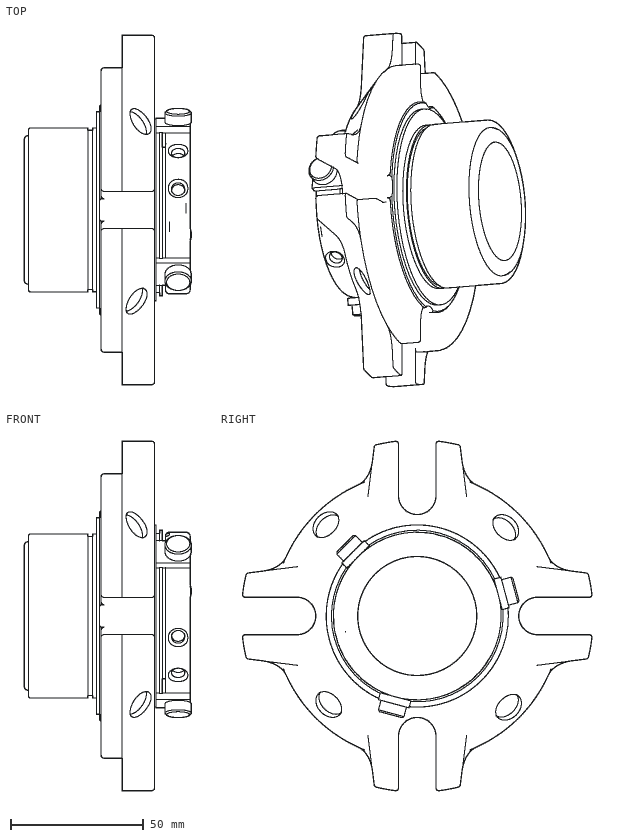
import cadquery as cq
import math

bore_diameter = 45.01

nose_diameter = 56.39
nose_length = 1.64
nose_fillet = 1.6
sleeve_diameter = 62.23
sleeve_end_x = 24.15
sleeve_fillet = 0.75
groove_diameter = 60.4
groove_end_x = 25.9
collar_diameter = 62.18

pilot_x = 27.4
pilot_diameter = 74.5
step_x = 28.6
step_diameter = 80.2
step_chamfer = 0.5
flange_x = 29.1
flange_diameter = 109.0
lug_x = 37.1
back_x = 49.45
edge_fillet = 1.15
cone_drop = back_x - lug_x

slot_count = 4
slot_width = 14.1
slot_center_radius = 45.5
tip_radius = 66.7
slot_overrun = 1.0
lug_tip_half_width = 16.0
lug_flank_slope = 0.125
lug_root_radius = 36.0
lug_root_fillet = 6.5

port_diameter = 11.25
port_depth = 2.5
port_positions = ((45, 44.1), (135, 42.6), (225, 44.1), (315, 42.6))

spigot_diameter = 69.0
spigot_end_x = 50.0
hub_diameter = 62.6
hub_end_x = 51.3
snap_ring_diameter = 65.0
snap_ring_end_x = 52.3
neck_diameter = 47.6

collar_ring_diameter = 63.52
collar_ring_x = 53.45
collar_ring_end_x = 62.9
collar_ring_fillet = 1.6
screw_x = 58.32

clip_angles = (15, 135, 255)
clip_width = 12.0
clip_inner_radius = 31.7
clip_thickness = 2.7
clip_head_diameter = 10.0
clip_head_height = 4.3
clip_head_chamfer = 0.6
screw_angles = (75, 195, 315, 45, 225)
screw_hole_diameter = 5.0
screw_sink_diameter = 7.6
screw_sink_depth = 1.3
screw_hole_depth = 4.0


def turned(x_start, x_end, diameter):
    """Solid cylinder on the X axis."""
    return cq.Workplane("YZ", origin=(x_start, 0, 0)).circle(diameter / 2).extrude(x_end - x_start)


def at_angle(shape, angle):
    """Turn a shape about X, from +Y towards +Z."""
    return shape.rotate((0, 0, 0), (1, 0, 0), angle)


def radius_of(edge):
    """Distance of an edge's middle from the X axis."""
    middle = edge.Center()
    return math.hypot(middle.y, middle.z)


def radial_cylinder(x, r_start, length, diameter):
    """Cylinder standing along +Y, starting at the given radius."""
    plane = cq.Plane(origin=(x, r_start, 0), xDir=(1, 0, 0), normal=(0, 1, 0))
    return cq.Workplane(plane).circle(diameter / 2).extrude(length)


def make_sleeve():
    """Stepped sleeve from its free end to the pilot of the flange."""
    nose = turned(0, nose_length, nose_diameter).faces("<X").edges().fillet(nose_fillet)
    barrel = turned(nose_length, sleeve_end_x, sleeve_diameter)
    barrel = barrel.faces("<X").edges().fillet(sleeve_fillet)
    groove = turned(sleeve_end_x, groove_end_x, groove_diameter)
    collar = turned(groove_end_x, pilot_x, collar_diameter)
    pilot = turned(pilot_x, step_x, pilot_diameter)
    return nose.union(barrel).union(groove).union(collar).union(pilot)


def make_lug_pair():
    """One lug block on +Z, later split in two by its slot."""
    root_half_width = lug_tip_half_width + lug_flank_slope * (tip_radius - lug_root_radius)
    outline = (
        cq.Workplane("YZ", origin=(lug_x, 0, 0))
        .moveTo(-root_half_width, lug_root_radius)
        .lineTo(-lug_tip_half_width, tip_radius)
        .lineTo(lug_tip_half_width, tip_radius)
        .lineTo(root_half_width, lug_root_radius)
        .close()
    )
    return outline.extrude(cone_drop).intersect(turned(lug_x, back_x, 2 * tip_radius))


def make_lug_disc():
    """Conical disc carrying the lugs, with the lug roots blended into the cone."""
    rim = flange_diameter / 2
    disc = (
        cq.Workplane("XY")
        .polyline([(lug_x, 0), (lug_x, rim), (back_x, rim - cone_drop), (back_x, 0)])
        .close()
        .revolve(360, (0, 0, 0), (1, 0, 0))
    )
    for i in range(slot_count):
        disc = disc.union(at_angle(make_lug_pair(), i * 360 / slot_count))

    roots = []
    for edge in disc.edges().vals():
        crosses_disc = edge.BoundingBox().xlen > cone_drop / 2
        if crosses_disc and radius_of(edge) < rim:
            roots.append(edge)
    return disc.newObject(roots).fillet(lug_root_fillet)


def slot_cutter(angle):
    """Round-bottomed slot, open at the rim."""
    length = back_x - step_x
    outer = tip_radius + slot_overrun
    plane = cq.Workplane("YZ", origin=(step_x, 0, 0))
    round_end = plane.center(0, slot_center_radius).circle(slot_width / 2).extrude(length)
    straight = (
        plane.center(0, (slot_center_radius + outer) / 2)
        .rect(slot_width, outer - slot_center_radius)
        .extrude(length)
    )
    return at_angle(round_end.union(straight), angle)


def port_cutter(angle, x):
    """Shallow round port whose axis is square to the cone."""
    radius = flange_diameter / 2 - (x - lug_x)
    plane = cq.Plane(origin=(x, radius, 0), xDir=(0, 0, 1), normal=(1, 1, 0))
    drill = cq.Workplane(plane).workplane(offset=-port_depth).circle(port_diameter / 2)
    return at_angle(drill.extrude(2 * port_depth), angle)


def make_step():
    """Low ring standing proud of the flange, cut by the slot bottoms."""
    step = turned(step_x, lug_x, step_diameter)
    return step.faces("<X").edges().chamfer(step_chamfer)


def make_flange():
    """Slotted flange with rounded edges, ports and the front step."""
    flange = turned(flange_x, lug_x, flange_diameter).union(make_lug_disc())
    for i in range(slot_count):
        flange = flange.cut(slot_cutter(i * 360 / slot_count))

    corner_limit = flange_diameter / 2 - edge_fillet
    corners = [edge for edge in flange.edges("|X").vals() if radius_of(edge) > corner_limit]
    flange = flange.newObject(corners).fillet(edge_fillet)
    flange = flange.faces("<X").edges().fillet(edge_fillet)
    flange = flange.faces(">X").edges().fillet(edge_fillet)
    for angle, x in port_positions:
        flange = flange.cut(port_cutter(angle, x))
    step = make_step()
    for i in range(slot_count):
        step = step.cut(slot_cutter(i * 360 / slot_count))
    return flange.union(step)


def make_neck():
    """Stepped neck joining the flange to the drive collar."""
    spigot = turned(back_x, spigot_end_x, spigot_diameter)
    hub = turned(spigot_end_x, hub_end_x, hub_diameter)
    snap_ring = turned(hub_end_x, snap_ring_end_x, snap_ring_diameter)
    neck = turned(snap_ring_end_x, collar_ring_x, neck_diameter)
    return spigot.union(hub).union(snap_ring).union(neck)


def screw_cutter():
    """Countersunk screw hole along +Y."""
    outer = collar_ring_diameter / 2
    hole = radial_cylinder(screw_x, outer - screw_hole_depth, 2 * screw_hole_depth, screw_hole_diameter)
    sink = cq.Solid.makeCone(
        screw_hole_diameter / 2,
        screw_sink_diameter / 2,
        screw_sink_depth,
        cq.Vector(screw_x, outer - screw_sink_depth, 0),
        cq.Vector(0, 1, 0),
    )
    return hole.union(sink)


def make_drive_collar():
    """Rounded ring with countersunk screw holes."""
    ring = turned(collar_ring_x, collar_ring_end_x, collar_ring_diameter).edges().fillet(collar_ring_fillet)
    for angle in screw_angles:
        ring = ring.cut(at_angle(screw_cutter(), angle))
    return ring


def make_clip():
    """Flat plate facing +Y with a round screw head on it."""
    length = collar_ring_end_x - spigot_end_x
    plate = cq.Workplane("XY").box(length, clip_thickness, clip_width, centered=(False, False, True))
    plate = plate.translate((spigot_end_x, clip_inner_radius, 0))
    head_radius = clip_inner_radius + clip_thickness
    head = radial_cylinder(screw_x, head_radius, clip_head_height, clip_head_diameter)
    return plate.union(head.faces(">Y").edges().chamfer(clip_head_chamfer))


result = make_sleeve().union(make_flange()).union(make_neck()).union(make_drive_collar())
for clip_angle in clip_angles:
    result = result.union(at_angle(make_clip(), clip_angle))
result = result.cut(turned(0, collar_ring_end_x, bore_diameter))